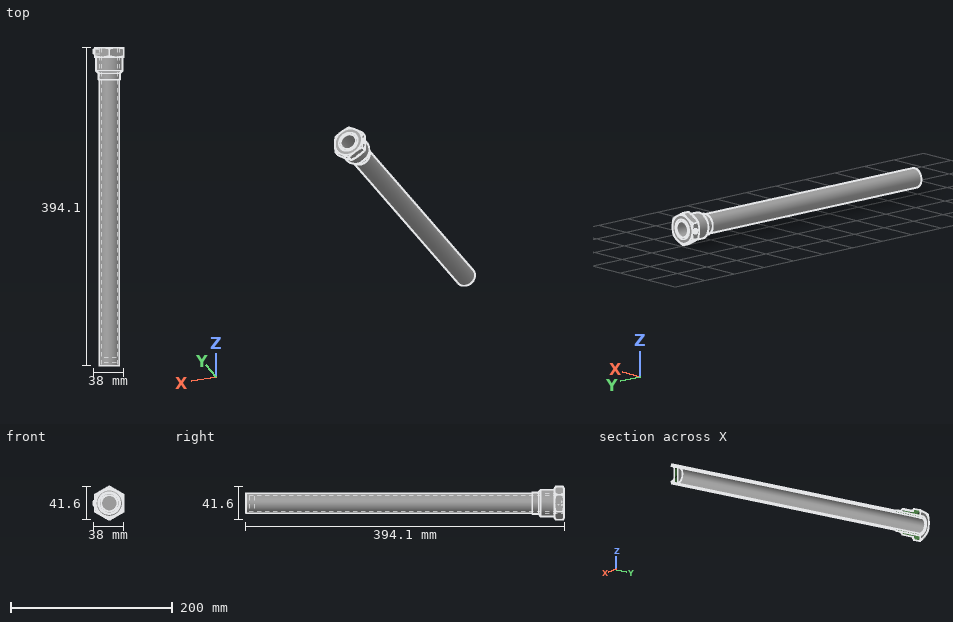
import cadquery as cq
import math

overall_length = 394.05

across_flats = 36.0
across_corners = across_flats / math.cos(math.radians(30))
hex_length = 12.0
hex_chamfer_angle = 30.0
sleeve_diameter = 33.25
sleeve_length = 17.0
shoulder_length = 2.75
neck_diameter = 27.0
neck_length = 8.0
neck_fillet = 1.0

tube_diameter = 25.0
tube_bore = 20.0
tube_end_fillet = 1.0
plug_recess = 4.5
plug_length = 6.0

screw_diameter = 6.0
screw_protrusion = 2.0
screw_chamfer = 1.0
screw_setback = 5.0
socket_across_corners = 2.0
socket_depth = 1.5

hex_front = overall_length - hex_length
sleeve_front = hex_front - sleeve_length
shoulder_front = sleeve_front - shoulder_length
neck_front = shoulder_front - neck_length
screw_y = overall_length - screw_setback

screw_outer_x = -across_flats / 2 - screw_protrusion
screw_inner_x = -tube_diameter / 2


def cylinder_y(diameter, start, end):
    return cq.Workplane("XZ", origin=(0, start, 0)).circle(diameter / 2).extrude(start - end)


def make_hexagon():
    """Hexagon with flats on +X and -X, its corners chamfered at both ends down to the flats."""
    hexagon = (
        cq.Workplane("XZ", origin=(0, hex_front, 0))
        .polygon(6, across_corners)
        .extrude(-hex_length)
        .rotate((0, 0, 0), (0, 1, 0), 30)
    )
    face_radius = across_flats / 2
    rim_radius = across_corners
    rim_drop = (rim_radius - face_radius) * math.tan(math.radians(hex_chamfer_angle))
    chamfer_envelope = (
        cq.Workplane("XY")
        .moveTo(0, hex_front)
        .lineTo(face_radius, hex_front)
        .lineTo(rim_radius, hex_front + rim_drop)
        .lineTo(rim_radius, overall_length - rim_drop)
        .lineTo(face_radius, overall_length)
        .lineTo(0, overall_length)
        .close()
        .revolve(360, (0, 0, 0), (0, 1, 0))
    )
    return hexagon.intersect(chamfer_envelope)


def make_stem():
    """Sleeve, shoulder and neck as one turned profile."""
    sleeve_radius = sleeve_diameter / 2
    neck_radius = neck_diameter / 2
    profile = (
        cq.Workplane("XY")
        .moveTo(0, hex_front)
        .lineTo(sleeve_radius, hex_front)
        .lineTo(sleeve_radius, sleeve_front)
        .lineTo(neck_radius, shoulder_front)
        .lineTo(neck_radius, neck_front)
        .lineTo(0, neck_front)
        .close()
    )
    stem = profile.revolve(360, (0, 0, 0), (0, 1, 0))
    return stem.faces("<Y").edges().fillet(neck_fillet)


def make_nut():
    tube_hole = cylinder_y(tube_diameter, neck_front, overall_length)
    screw_hole = (
        cq.Workplane("YZ", origin=(screw_outer_x, screw_y, 0))
        .circle(screw_diameter / 2)
        .extrude(-screw_outer_x)
    )
    return make_hexagon().union(make_stem()).cut(tube_hole).cut(screw_hole)


def make_tube():
    rod = cylinder_y(tube_diameter, 0, overall_length).faces("<Y").edges().fillet(tube_end_fillet)
    return rod.cut(cylinder_y(tube_bore, 0, overall_length))


def make_plug():
    return cylinder_y(tube_bore, plug_recess, plug_recess + plug_length)


def make_set_screw():
    outer_plane = cq.Workplane("YZ", origin=(screw_outer_x, screw_y, 0))
    shank = outer_plane.circle(screw_diameter / 2).extrude(screw_inner_x - screw_outer_x)
    socket = outer_plane.polygon(6, socket_across_corners).extrude(socket_depth)
    return shank.faces("<X").chamfer(screw_chamfer).cut(socket)


nut = make_nut().solids()
tube = make_tube().solids()
plug = make_plug().solids()
set_screw = make_set_screw().solids()

result = cq.Compound.makeCompound([nut.val(), tube.val(), plug.val(), set_screw.val()])